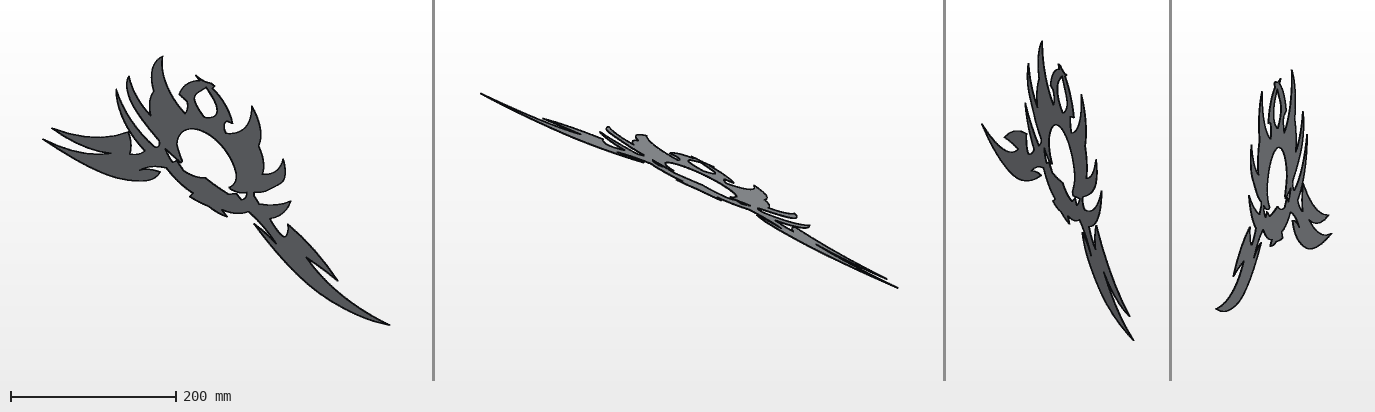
import cadquery as cq

THICKNESS = 1.0


LEFT_BLADE_TOP = [
    [(-220.0, -108.5), (-170.0, -81.5)],
    [(-214.0, -95.0), (-264.5, -95.0)],
    [(-197.0, -71.5), (-142.0, -31.0)],
    [(-137.5, -49.0), (-139.5, -65.5)],
    [(-124.5, -57.0), (-115.0, -46.5)],
]

LEFT_HORNS = [
    [(-151.0, -14.0), (-161.5, 25.5)],
    [(-134.0, -13.0), (-99.5, -31.0)],
    [(-92.5, -26.0), (-92.0, -17.5)],
    [(-121.0, 2.35), (-141.0, 27.5), (-144.0, 46.0), (-140.5, 58.0)],
    [(-128.5, 33.0), (-105.5, 15.0)],
    [(-106.0, 42.5), (-100.5, 57.0)],
    [(-102.0, 94.0), (-86.5, 120.5)],
    [(-81.0, 80.5), (-50.0, 49.5)],
]

CREST = [
    [(-46.5, 60.5), (-47.0, 71.0)],
    [(-60.0, 75.5)],
    [(-45.0, 101.0), (-27.0, 115.5)],
    [(-33.0, 120.5)],
    [(-18.5, 119.0), (-9.0, 122.0)],
    [(-2.6, 120.5)],
    [(-6.0, 115.0)],
    [(12.5, 103.0), (26.0, 77.0)],
    [(17.5, 76.0)],
    [(13.0, 67.5), (15.5, 55.5)],
]

RIGHT_HORNS = [
    [(41.5, 75.0), (57.0, 122.5)],
    [(70.5, 97.0), (68.0, 65.0)],
    [(74.0, 52.0), (74.0, 23.0)],
    [(95.0, 39.0), (108.0, 66.5)],
    [(111.0, 49.5), (109.0, 34.0), (96.0, 16.0), (80.5, -0.2), (61.0, -13.5)],
    [(61.0, -19.0)],
    [(69.0, -27.5)],
    [(97.0, -13.0), (120.0, 6.0)],
    [(113.0, -12.0), (86.5, -41.0)],
]

RIGHT_BLADE = [
    [(101.0, -55.0), (109.5, -57.0), (114.5, -49.0), (115.0, -33.5)],
    [(153.5, -48.5), (196.0, -79.0)],
    [(170.5, -73.0), (145.0, -70.0)],
    [(164.0, -83.0), (188.0, -94.0), (244.0, -103.5), (279.0, -102.0)],
    [(233.5, -114.5), (196.0, -117.0), (168.5, -115.5), (109.5, -95.5), (61.0, -63.5)],
    [(78.0, -67.5), (96.5, -75.5)],
    [(74.0, -58.5), (52.0, -49.0)],
]

LOWER_BAND = [
    [(38.5, -60.0), (9.0, -70.5)],
    [(17.5, -77.0)],
    [(4.7, -79.0), (-12.5, -77.0)],
    [(-27.0, -79.0), (-43.0, -79.0)],
    [(-37.5, -70.5)],
    [(-60.5, -65.5), (-80.5, -54.0)],
]

LEFT_BLADE_BOTTOM = [
    [(-102.0, -64.0), (-123.5, -82.0)],
    [(-106.5, -71.5), (-90.5, -66.5)],
    [(-99.5, -81.0), (-132.0, -104.0), (-167.5, -117.0), (-199.0, -122.5), (-239.0, -123.5), (-279.0, -120.5)],
]

VOID_ARCH = [
    [(-55.0, -29.0)],
    [(-60.5, -17.0), (-63.5, -6.5)],
    [(-15.0, 38.0), (32.5, -0.85)],
    [(29.0, -17.5), (20.5, -28.0)],
    [(23.5, -29.5)],
]

VOID_BASE = [
    [(36.5, -27.5), (49.0, -20.0)],
    [(48.0, -27.5), (40.0, -37.0)],
    [(32.5, -31.0)],
    [(20.0, -39.5)],
    [(0.5, -38.0), (-18.0, -34.5)],
    [(-33.0, -41.5), (-52.5, -43.0)],
    [(-63.5, -33.0)],
    [(-70.5, -39.5)],
    [(-78.0, -31.0), (-82.0, -24.5)],
    [(-57.0, -33.0)],
]

EYE = [
    [(-8.0, 103.0), (0.5, 90.0), (0.5, 78.0), (-8.0, 67.5), (-19.0, 61.5)],
    [(-29.0, 70.0), (-35.0, 81.5), (-27.0, 98.0), (-16.0, 111.0)],
]


def closed_profile(edges):
    """Closed wire through the edges; it starts where the last edge ends."""
    profile = cq.Workplane("XZ").moveTo(*edges[-1][-1])
    for points in edges:
        if len(points) == 1:
            profile = profile.lineTo(*points[0])
        elif len(points) == 2:
            profile = profile.threePointArc(*points)
        else:
            profile = profile.spline(points, includeCurrent=True)
    return profile.close()


def sheet(edges):
    """Plate of the sheet thickness, centred on the XZ plane."""
    return closed_profile(edges).extrude(THICKNESS / 2, both=True)


outline = (
    LEFT_BLADE_TOP
    + LEFT_HORNS
    + CREST
    + RIGHT_HORNS
    + RIGHT_BLADE
    + LOWER_BAND
    + LEFT_BLADE_BOTTOM
)
central_opening = VOID_ARCH + VOID_BASE

result = sheet(outline).cut(sheet(central_opening)).cut(sheet(EYE))